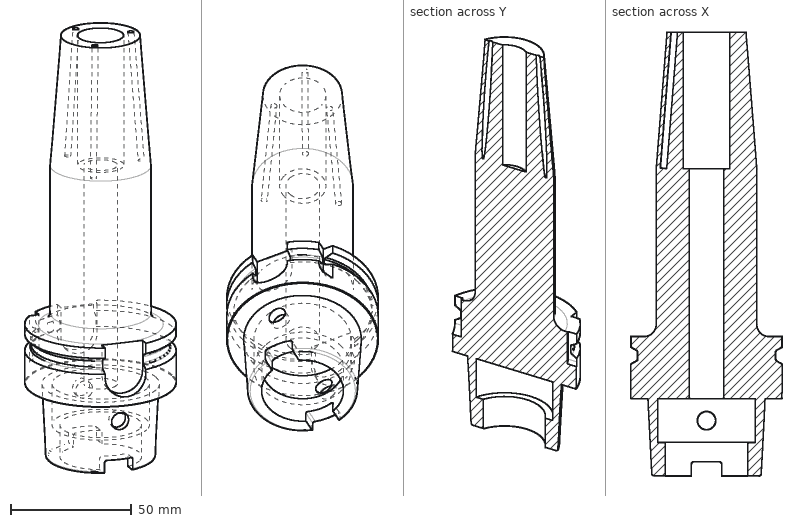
import cadquery as cq
import math


shank_length = 32.0
nose_z = 152.4

nose_dia = 33.0
neck_dia = 42.0
nose_taper_length = 56.7
neck_fillet = 5.0

flange_dia = 63.0
flange_height = 26.0
flange_chamfer = 0.3
groove_z = 18.0
groove_width = 7.0
groove_dia = 57.4
groove_corner_radius = 1.0
groove_flank_angle = 30.0

shank_top_dia = 48.9
shank_taper = 0.1
shank_end_rounding = 1.0

bore_dia = 14.0
tool_bore_dia = 19.2
tool_bore_depth = nose_taper_length

mouth_dia = 34.0
chamber_dia = 40.5
chamber_bottom_z = -18.0
chamber_top_z = 0.0

coolant_dia = 2.5
coolant_circle_radius = 13.4
coolant_length = nose_taper_length
coolant_angles = (90, 210, 330)

slot_end_z = 13.0
slot_floor_x = 26.2
slot_width_minus_x = 16.0
slot_width_plus_x = 18.0

notch_corner_x = -20.3
notch_corner_y = -19.8
notch_runout_radius = 8.0

keyway_width = 12.5
keyway_depth = 5.9
keyway_fillet = 1.0
cross_hole_dia = 7.5
cross_hole_z = -9.0

flange_radius = flange_dia / 2
clearance = 1.0


def turned_body():
    neck_radius = neck_dia / 2
    groove_radius = groove_dia / 2
    flank_angle = math.radians(groove_flank_angle)
    flank_height = (flange_radius - groove_radius) * math.tan(flank_angle)
    corner_tangent = groove_corner_radius * math.tan((math.pi / 2 - flank_angle) / 2)
    corner_out = corner_tangent * math.cos(flank_angle)
    corner_down = corner_tangent * math.sin(flank_angle)
    groove_low = groove_z - groove_width / 2
    groove_high = groove_z + groove_width / 2
    shank_top_radius = shank_top_dia / 2
    shank_end_radius = shank_top_radius - shank_taper * shank_length / 2
    profile = (
        cq.Workplane("YZ")
        .moveTo(0, -shank_length)
        .lineTo(shank_end_radius - shank_end_rounding, -shank_length)
        .radiusArc((shank_end_radius, shank_end_rounding - shank_length), -shank_end_rounding)
        .lineTo(shank_top_radius, 0)
        .lineTo(flange_radius - flange_chamfer, 0)
        .lineTo(flange_radius, flange_chamfer)
        .lineTo(flange_radius, groove_low)
        .lineTo(groove_radius + corner_out, groove_low + flank_height - corner_down)
        .radiusArc((groove_radius, groove_low + flank_height + corner_tangent), groove_corner_radius)
        .lineTo(groove_radius, groove_high - flank_height - corner_tangent)
        .radiusArc(
            (groove_radius + corner_out, groove_high - flank_height + corner_down),
            groove_corner_radius,
        )
        .lineTo(flange_radius, groove_high)
        .lineTo(flange_radius, flange_height)
        .lineTo(neck_radius + neck_fillet, flange_height)
        .radiusArc((neck_radius, flange_height + neck_fillet), neck_fillet)
        .lineTo(neck_radius, nose_z - nose_taper_length)
        .lineTo(nose_dia / 2, nose_z)
        .lineTo(0, nose_z)
        .close()
    )
    return profile.revolve(360, (0, 0, 0), (0, 1, 0))


def axial_cylinder(diameter, bottom_z, top_z):
    base = cq.Workplane("XY", origin=(0, 0, bottom_z))
    return base.circle(diameter / 2).extrude(top_z - bottom_z)


def axial_bores():
    through = axial_cylinder(bore_dia, -shank_length, nose_z)
    tool = axial_cylinder(tool_bore_dia, nose_z - tool_bore_depth, nose_z)
    mouth = axial_cylinder(mouth_dia, -shank_length, chamber_bottom_z)
    chamber = axial_cylinder(chamber_dia, chamber_bottom_z, chamber_top_z)
    return through.union(tool).union(mouth).union(chamber)


def coolant_hole(angle):
    spread = (neck_dia - nose_dia) / 2
    slope_length = math.hypot(spread, nose_taper_length)
    outward = spread / slope_length
    downward = nose_taper_length / slope_length
    direction = cq.Vector(outward, 0, -downward)
    mouth = cq.Vector(coolant_circle_radius, 0, nose_z)
    hole = cq.Solid.makeCylinder(
        coolant_dia / 2, coolant_length + clearance, mouth - direction * clearance, direction
    )
    return cq.Workplane(hole).rotate((0, 0, 0), (0, 0, 1), angle)


def drive_slot(width, side):
    length = flange_radius - slot_floor_x + clearance
    top_z = flange_height + clearance
    straight = (
        cq.Workplane("YZ", origin=(side * slot_floor_x, 0, 0))
        .moveTo(-width / 2, top_z)
        .lineTo(-width / 2, slot_end_z)
        .threePointArc((0, slot_end_z - width / 2), (width / 2, slot_end_z))
        .lineTo(width / 2, top_z)
        .close()
    )
    return straight.extrude(side * length)


def orientation_notch():
    runout_center_y = notch_corner_y - notch_runout_radius
    runout_bottom_z = slot_end_z - notch_runout_radius
    outer_y = -flange_radius - clearance
    top_z = flange_height + clearance
    diagonal = notch_runout_radius * math.sqrt(0.5)
    profile = (
        cq.Workplane("YZ", origin=(notch_corner_x, 0, 0))
        .moveTo(notch_corner_y, top_z)
        .lineTo(notch_corner_y, slot_end_z)
        .threePointArc(
            (runout_center_y + diagonal, slot_end_z - diagonal),
            (runout_center_y, runout_bottom_z),
        )
        .lineTo(outer_y, runout_bottom_z)
        .lineTo(outer_y, top_z)
        .close()
    )
    return profile.extrude(-flange_radius)


def keyway():
    return (
        cq.Workplane("XY", origin=(0, 0, -shank_length))
        .box(flange_dia, keyway_width, 2 * keyway_depth)
        .edges("|X and >Z")
        .fillet(keyway_fillet)
    )


def cross_hole():
    start = cq.Workplane("YZ", origin=(-flange_radius, 0, cross_hole_z))
    return start.circle(cross_hole_dia / 2).extrude(flange_dia)


result = turned_body().cut(axial_bores())
for coolant_angle in coolant_angles:
    result = result.cut(coolant_hole(coolant_angle))
result = result.cut(drive_slot(slot_width_minus_x, -1))
result = result.cut(drive_slot(slot_width_plus_x, 1))
result = result.cut(orientation_notch())
result = result.cut(keyway())
result = result.cut(cross_hole())